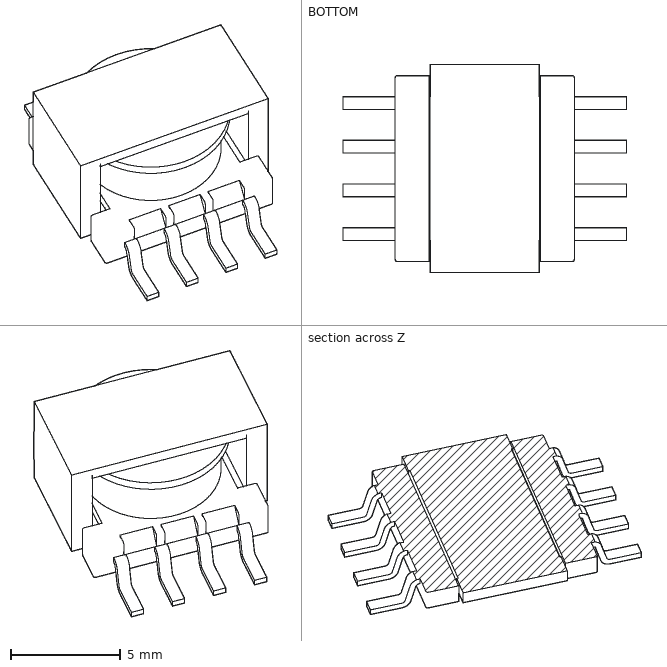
import cadquery as cq
import math

overall_length = 12.97
overall_height = 5.97
core_width = 5.0
core_length = 9.52
core_height = 5.0
core_bottom = overall_height - core_height
core_plate = 0.87
window_length = 7.51
window_round = 0.5

base_width = 8.21
base_length = 8.51
base_bottom = 0.6
base_top = 2.35
base_round = 0.1
channel_width = 5.1
floor_length = 6.59
floor_bottom = core_bottom + core_plate
barrel_diameter = 6.45
flange_diameter = 7.25
flange_bottom = 4.67
flange_top = overall_height - core_plate

lead_pitch = 2.0
leads_per_side = 4
lead_width = 0.6
lead_thickness = 0.3
lead_top = 1.6
lead_bend_radius = 0.32
lead_tilt = 15.5
lead_shoulder_x = 4.38
lead_embed = 0.39
pocket_width = 1.6
pocket_depth = 0.56


def block(width, length, bottom, top):
    """Box centred on the Z axis between two heights."""
    return cq.Workplane("XY").workplane(offset=bottom).rect(width, length).extrude(top - bottom)


def disc(diameter, bottom, top):
    """Upright cylinder on the Z axis between two heights."""
    return cq.Workplane("XY").workplane(offset=bottom).circle(diameter / 2).extrude(top - bottom)


def centred_row(count):
    """Y positions of equally pitched features, centred on the X axis."""
    return [(i - (count - 1) / 2) * lead_pitch for i in range(count)]


def both_sides(shape):
    """The shape together with its mirror image across the YZ plane."""
    return shape.union(shape.mirror("YZ"))


def make_core():
    ring = block(core_width, core_length, core_bottom, overall_height)
    window = block(core_width, window_length, core_bottom + core_plate, overall_height - core_plate)
    ring = ring.cut(window)
    half_window = core_height / 2 - core_plate
    mid_height = core_bottom + core_height / 2
    selection_margin = 0.01
    window_edges = cq.selectors.BoxSelector(
        (-core_width, -selection_margin, mid_height - half_window - selection_margin),
        (core_width, selection_margin, mid_height + half_window + selection_margin),
    )
    return ring.edges("|Y").edges(window_edges).fillet(window_round)


def make_pocket(y_centre):
    """Wedge that cuts a sloping face down the -X side of the base."""
    side_x = -base_width / 2
    wedge = (
        cq.Workplane("XZ", origin=(0, y_centre, 0))
        .moveTo(side_x, lead_top)
        .lineTo(side_x + pocket_depth, base_top)
        .lineTo(side_x, base_top)
        .close()
        .extrude(pocket_width / 2, both=True)
    )
    return both_sides(wedge)


def make_base():
    base = block(base_width, base_length, base_bottom, base_top)
    base = base.edges("|Z or >Z").fillet(base_round)
    base = base.cut(block(channel_width, base_length, base_bottom, base_top))
    base = base.union(block(channel_width, floor_length, floor_bottom, base_top))
    for y_centre in centred_row(leads_per_side - 1):
        base = base.cut(make_pocket(y_centre))
    return base


def make_lead(y_centre):
    """S-shaped strip on the -X side, with both bends concentric inside and out."""
    upper_z = lead_top - lead_thickness / 2
    lower_z = lead_thickness / 2
    tilt = math.radians(lead_tilt)
    bend_x = lead_shoulder_x + (upper_z - lower_z) * math.tan(tilt)
    setback = lead_bend_radius * math.tan((math.pi / 2 - tilt) / 2)
    slope_x = setback * math.sin(tilt)
    slope_z = setback * math.cos(tilt)
    centreline = (
        cq.Workplane("XZ", origin=(0, y_centre, 0))
        .moveTo(-overall_length / 2, lower_z)
        .lineTo(-bend_x - setback, lower_z)
        .tangentArcPoint((-bend_x + slope_x, lower_z + slope_z), relative=False)
        .lineTo(-lead_shoulder_x - slope_x, upper_z - slope_z)
        .tangentArcPoint((-lead_shoulder_x + setback, upper_z), relative=False)
        .lineTo(-base_width / 2 + lead_embed, upper_z)
    )
    strip = (
        cq.Workplane("YZ", origin=(-overall_length / 2, y_centre, lower_z))
        .rect(lead_width, lead_thickness)
        .sweep(centreline)
    )
    return both_sides(strip)


result = make_base()
result = result.union(disc(barrel_diameter, base_top, flange_bottom))
result = result.union(disc(flange_diameter, flange_bottom, flange_top))
result = result.union(make_core())
for lead_y in centred_row(leads_per_side):
    result = result.union(make_lead(lead_y))